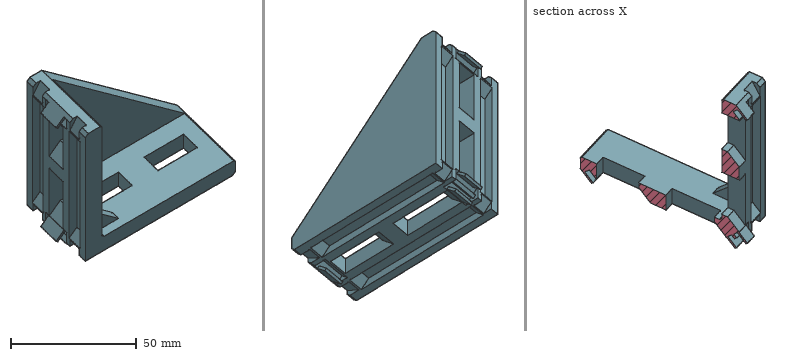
import cadquery as cq


width = 38.0
overall = 79.8
leg = 75.9
tip_flat = 7.5
tip_chamfer = 1.5
plate = 8.5
side_wall = 6.0
corner_chamfer = 1.0

gusset_width = 4.0
gusset_inset = 4.0
gusset_leg = 11.4

slot_width = 8.9
slot_spans = [(11.9, 35.0), (48.0, 67.85)]
slot_ramp = 5.6

lane_offset = 12.0
channel_width = 7.0
channel_depth = 3.9
channel_start = 4.55
channel_end = 68.9
notch_width = 6.0
tip_notch_depth = 3.7
tip_notch_length = 6.15
corner_notch = 4.0

groove_width = 13.5
tab_width = 10.0
tab_reach = leg - overall
tab_step = 0.9
tab_embed = 0.8
tip_root = leg - tip_chamfer
tip_groove_length = 5.75
corner_root = 6.4
corner_tab_gap = 0.15
rib_half = 0.6
rib_front = 1.795


def prism(section, x_middle, x_width):
    """Extrude a (y, z) section along X, centred on x_middle."""
    solid = cq.Workplane("YZ").polyline(section).close().extrude(x_width)
    return solid.translate((x_middle - x_width / 2, 0, 0))


def both_plates(section, x_middle, x_width):
    """Prism on the upright plate joined with its mirror image on the floor plate."""
    mirrored = [(z, y) for y, z in section]
    return prism(section, x_middle, x_width).add(prism(mirrored, x_middle, x_width)).combine()


def body():
    outline = [
        (0, 0),
        (0, leg - tip_chamfer),
        (tip_chamfer, leg),
        (tip_flat, leg),
        (leg, tip_flat),
        (leg, tip_chamfer),
        (leg - tip_chamfer, 0),
    ]
    fill = plate + corner_chamfer
    inside = [(plate, fill), (plate, leg), (leg, leg), (leg, plate), (fill, plate)]
    return prism(outline, 0, width).cut(prism(inside, side_wall, width))


def gusset():
    section = [
        (plate / 2, plate / 2),
        (plate / 2, plate + gusset_leg),
        (plate, plate + gusset_leg),
        (plate + gusset_leg, plate),
        (plate + gusset_leg, plate / 2),
    ]
    x_middle = width / 2 - gusset_inset - gusset_width / 2
    return prism(section, x_middle, gusset_width)


def slot(start, end):
    section = [
        (0, start - slot_ramp),
        (slot_ramp, start),
        (plate, start),
        (plate, end),
        (0, end),
    ]
    return both_plates(section, 0, slot_width)


def channel(x_middle):
    section = [
        (0, channel_start),
        (channel_depth, channel_start + channel_depth),
        (channel_depth, channel_end - channel_depth),
        (0, channel_end),
    ]
    return both_plates(section, x_middle, channel_width)


def tip_notch(x_middle):
    section = [(0, leg - tip_notch_length), (tip_notch_depth, leg), (0, leg)]
    return both_plates(section, x_middle, notch_width)


def notch_at_corner(x_middle):
    section = [(0, 0), (0, corner_notch), (corner_notch, 0)]
    return prism(section, x_middle, notch_width)


def tip_grooves():
    depth = tip_groove_length / 2
    section = [(0, tip_root), (depth, tip_root - depth), (0, tip_root - tip_groove_length)]
    return both_plates(section, 0, groove_width)


def corner_groove():
    root_middle = corner_root / 2
    section = [
        (0, 0),
        (0, corner_root),
        (root_middle - rib_half, root_middle + rib_half),
        (rib_front - rib_half, rib_front + rib_half),
        (rib_front + rib_half, rib_front - rib_half),
        (root_middle + rib_half, root_middle - rib_half),
        (corner_root, 0),
    ]
    return prism(section, 0, groove_width)


def tabs(root, gap):
    """Pair of square-ended tabs standing on the 45 degree groove face, gap away from its edge."""
    rise = root - 2 * gap
    near = gap + tab_embed
    section = [
        (near, rise + near),
        (tab_reach, rise + tab_reach),
        (tab_reach + tab_step, rise + tab_reach - tab_step),
        (near + tab_step, rise + near - tab_step),
    ]
    return both_plates(section, 0, tab_width)


result = body().union(gusset())
for span in slot_spans:
    result = result.cut(slot(*span))
for lane in (-lane_offset, lane_offset):
    result = result.cut(channel(lane))
    result = result.cut(tip_notch(lane))
    result = result.cut(notch_at_corner(lane))
result = result.cut(tip_grooves()).cut(corner_groove())
result = result.union(tabs(tip_root, 0))
result = result.union(tabs(corner_root, corner_tab_gap))